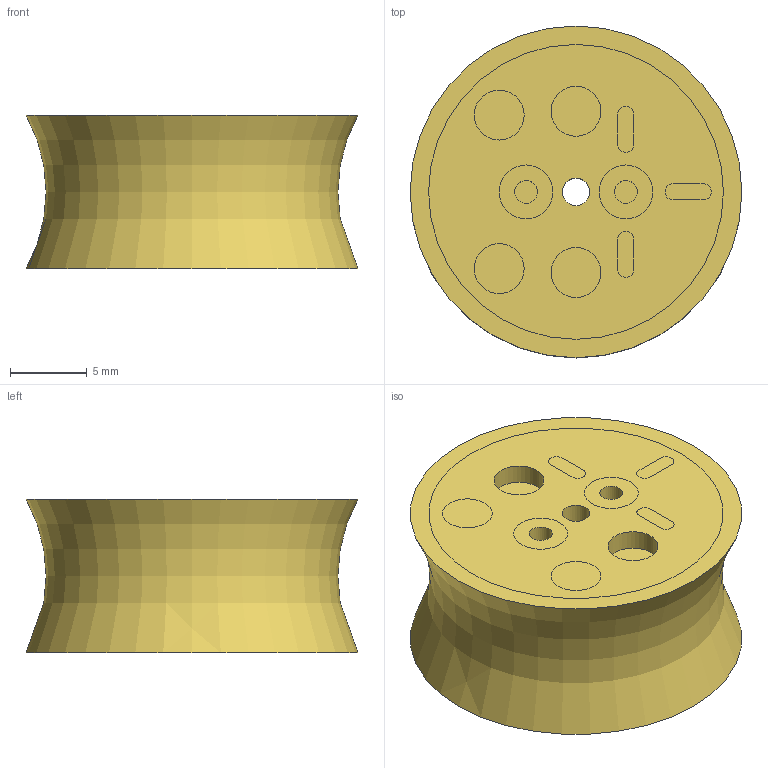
import cadquery as cq

wheel_height = 10.0
flange_radius = 10.8
waist_radius = 9.5
top_z = wheel_height / 2

axle_diameter = 1.8

pocket_diameter = 3.25
pocket_offset = 5.25
pocket_depth = 1.3

pin_diameter = 1.5
pin_offset = 3.25
pin_depth = wheel_height / 2
bushing_diameter = 3.5

cover_diameter = 19.2
plug_diameter = pocket_diameter
plug_offset = 5.0

slot_length = 3.0
slot_width = 1.05
x_slot_centre = (7.3, 0)
y_slot_offset = 4.07
y_slot_centres = [(pin_offset, -y_slot_offset), (pin_offset, y_slot_offset)]

inlay_depth = 1.0

axle_centre = [(0, 0)]
pin_centres = [(-pin_offset, 0), (pin_offset, 0)]
pocket_centres = [(0, -pocket_offset), (0, pocket_offset)]
plug_centres = [(-plug_offset, -plug_offset), (-plug_offset, plug_offset)]


def make_body():
    """Revolve the half section, whose outer edge is one concave arc."""
    return (
        cq.Workplane("XZ")
        .moveTo(0, -top_z)
        .lineTo(-flange_radius, -top_z)
        .threePointArc((-waist_radius, 0), (-flange_radius, top_z))
        .lineTo(0, top_z)
        .close()
        .revolve(360, (0, 0), (0, 1))
    )


def top_points(points):
    """Workplane on the top face with the given points selected."""
    return cq.Workplane("XY").workplane(offset=top_z).pushPoints(points)


def cylinders(points, diameter, depth):
    """Cylinders that reach down from the top face."""
    return top_points(points).circle(diameter / 2).extrude(-depth)


def slots(points, angle):
    """Round-ended slot inlays that reach down from the top face."""
    return top_points(points).slot2D(slot_length, slot_width, angle).extrude(-inlay_depth)


def fuse_inlay(body, inlay):
    """Replace body material by the inlay, keeping its outline as an edge of the flush top face."""
    return body.cut(inlay, clean=False).union(inlay, clean=False)


inlays = [
    cylinders(axle_centre, cover_diameter, inlay_depth),
    cylinders(plug_centres, plug_diameter, inlay_depth),
    cylinders(pin_centres, bushing_diameter, inlay_depth),
    slots([x_slot_centre], 0),
    slots(y_slot_centres, 90),
]

holes = [
    cylinders(axle_centre, axle_diameter, wheel_height),
    cylinders(pin_centres, pin_diameter, pin_depth),
    cylinders(pocket_centres, pocket_diameter, pocket_depth),
]

result = make_body()
for inlay in inlays:
    result = fuse_inlay(result, inlay)
for hole in holes:
    result = result.cut(hole, clean=False)